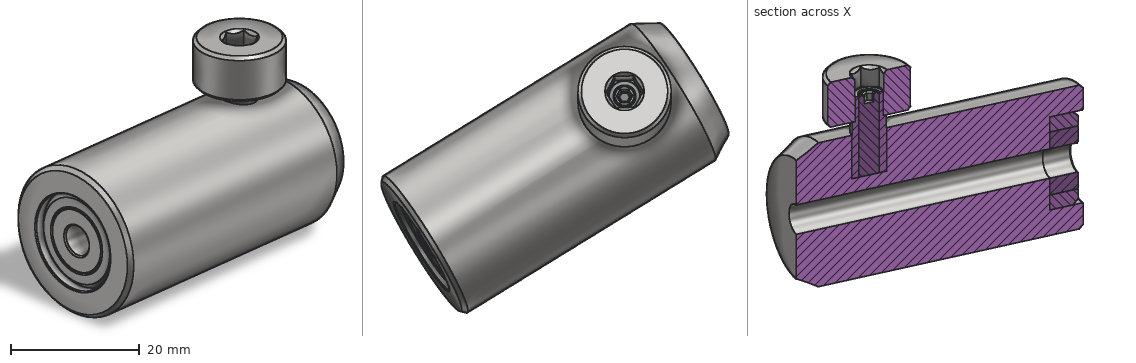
import cadquery as cq
import math

HOUSING_LENGTH = 50.0
HOUSING_RADIUS = 12.5
FRONT_Y = -HOUSING_LENGTH / 2
BACK_Y = HOUSING_LENGTH / 2
FRONT_CHAMFER = 0.7
TAPER_LENGTH = 3.85
TAPER_ANGLE = 30.0
TAPER_RADIUS = HOUSING_RADIUS - TAPER_LENGTH * math.tan(math.radians(TAPER_ANGLE))

RECESS_RADIUS = 8.0
RECESS_CHAMFER = 0.2
BEARING_SETBACK = 0.85
BEARING_WIDTH = 5.0
BEARING_FRONT_Y = FRONT_Y + BEARING_SETBACK
BEARING_BACK_Y = BEARING_FRONT_Y + BEARING_WIDTH
OUTER_RING_CHAMFER = 0.85
RING_JOINT_RADIUS = 5.4
RING_JOINT_CHAMFER = 0.2
BORE_RADIUS = 2.5
BORE_CHAMFER = 0.25

SCREW_Y = 12.3
KNOB_RADIUS = 7.25
KNOB_TOP_Z = 22.5
KNOB_HEIGHT = 7.85
KNOB_BOTTOM_Z = KNOB_TOP_Z - KNOB_HEIGHT
KNOB_CHAMFER = 0.55
KNOB_HEX_FLATS = 5.0
KNOB_HEX_DEPTH = 3.5
KNOB_HEX_FLOOR_Z = KNOB_TOP_Z - KNOB_HEX_DEPTH
KNOB_MOUTH_RADIUS = 3.05
STUD_RADIUS = 3.0
STUD_NECK_RADIUS = 2.4
STUD_BOTTOM_Z = 5.0
PIN_RADIUS = 1.75
PIN_CHAMFER = 0.25
PIN_HEX_FLATS = 1.55
PIN_HEX_DEPTH = 1.5
PIN_HEX_CHAMFER = 0.3


def y_cylinder(radius, y_start, y_end):
    """Solid cylinder on the Y axis."""
    return cq.Workplane("XZ", origin=(0, y_start, 0)).circle(radius).extrude(y_start - y_end)


def screw_cylinder(radius, z_start, z_end):
    """Solid cylinder on the vertical axis of the clamping screw."""
    return cq.Workplane("XY", origin=(0, SCREW_Y, z_start)).circle(radius).extrude(z_end - z_start)


def hex_prism(flats, top_z, depth, taper=0):
    """Hexagonal prism going down from top_z on the screw axis, with two flats facing along Y."""
    across_corners = flats / math.cos(math.pi / 6)
    return (
        cq.Workplane("XY", origin=(0, SCREW_Y, top_z))
        .polygon(6, across_corners)
        .extrude(-depth, taper=taper)
    )


def make_housing():
    body = (
        cq.Workplane("XY")
        .moveTo(BORE_RADIUS, BEARING_BACK_Y)
        .lineTo(RECESS_RADIUS, BEARING_BACK_Y)
        .lineTo(RECESS_RADIUS, FRONT_Y + RECESS_CHAMFER)
        .lineTo(RECESS_RADIUS + RECESS_CHAMFER, FRONT_Y)
        .lineTo(HOUSING_RADIUS - FRONT_CHAMFER, FRONT_Y)
        .lineTo(HOUSING_RADIUS, FRONT_Y + FRONT_CHAMFER)
        .lineTo(HOUSING_RADIUS, BACK_Y - TAPER_LENGTH)
        .lineTo(TAPER_RADIUS, BACK_Y)
        .lineTo(BORE_RADIUS, BACK_Y)
        .close()
        .revolve(360, (0, 0, 0), (0, 1, 0))
    )
    return body.cut(screw_cylinder(STUD_RADIUS, STUD_BOTTOM_Z, HOUSING_RADIUS))


def make_outer_ring():
    ring = y_cylinder(RECESS_RADIUS, BEARING_FRONT_Y, BEARING_BACK_Y)
    ring = ring.faces("<Y").edges().chamfer(OUTER_RING_CHAMFER)
    ring = ring.cut(y_cylinder(RING_JOINT_RADIUS, BEARING_FRONT_Y, BEARING_BACK_Y))
    return ring.faces("<Y").edges(cq.selectors.RadiusNthSelector(0)).chamfer(RING_JOINT_CHAMFER)


def make_inner_ring():
    ring = y_cylinder(RING_JOINT_RADIUS, BEARING_FRONT_Y, BEARING_BACK_Y)
    ring = ring.faces("<Y").edges().chamfer(RING_JOINT_CHAMFER)
    ring = ring.cut(y_cylinder(BORE_RADIUS, BEARING_FRONT_Y, BEARING_BACK_Y))
    return ring.faces("<Y").edges(cq.selectors.RadiusNthSelector(0)).chamfer(BORE_CHAMFER)


def make_knob():
    knob = screw_cylinder(KNOB_RADIUS, KNOB_BOTTOM_Z, KNOB_TOP_Z)
    knob = knob.faces("<Z or >Z").edges().chamfer(KNOB_CHAMFER)
    knob = knob.cut(hex_prism(KNOB_HEX_FLATS, KNOB_TOP_Z, KNOB_HEX_DEPTH))
    lead_in = cq.Solid.makeCone(
        KNOB_MOUTH_RADIUS, 0, KNOB_MOUTH_RADIUS, cq.Vector(0, SCREW_Y, KNOB_TOP_Z), cq.Vector(0, 0, -1)
    )
    knob = knob.cut(cq.Workplane(lead_in))
    return knob.cut(screw_cylinder(STUD_NECK_RADIUS, KNOB_BOTTOM_Z, KNOB_HEX_FLOOR_Z))


def make_stud():
    shank = screw_cylinder(STUD_RADIUS, STUD_BOTTOM_Z, KNOB_BOTTOM_Z)
    neck = screw_cylinder(STUD_NECK_RADIUS, KNOB_BOTTOM_Z, KNOB_HEX_FLOOR_Z)
    return shank.union(neck).cut(screw_cylinder(PIN_RADIUS, STUD_BOTTOM_Z, KNOB_HEX_FLOOR_Z))


def make_pin():
    pin = screw_cylinder(PIN_RADIUS, STUD_BOTTOM_Z, KNOB_HEX_FLOOR_Z)
    pin = pin.faces(">Z").edges().chamfer(PIN_CHAMFER)
    mouth_flats = PIN_HEX_FLATS + 2 * PIN_HEX_CHAMFER
    pin = pin.cut(hex_prism(PIN_HEX_FLATS, KNOB_HEX_FLOOR_Z, PIN_HEX_DEPTH))
    return pin.cut(hex_prism(mouth_flats, KNOB_HEX_FLOOR_Z, PIN_HEX_CHAMFER, taper=45))


housing = make_housing()
outer_ring = make_outer_ring()
inner_ring = make_inner_ring()
knob = make_knob()
stud = make_stud()
pin = make_pin()

bodies = [housing, outer_ring, inner_ring, knob, stud, pin]
result = cq.Compound.makeCompound([body.solids().val() for body in bodies])